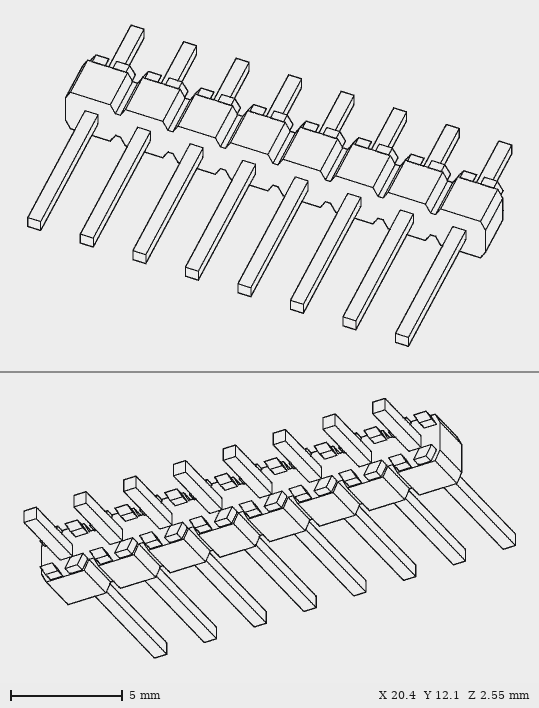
import cadquery as cq

pin_count = 8
pitch = 2.55
row_length = pin_count * pitch
body_height = 2.55
body_depth = 2.03

flank_width = 0.25
flank_height = 0.5
notch_floor_width = 0.25

pin_side = 0.63
pin_front_length = 6.75
pin_rear_length = 3.37

foot_length = 0.47
foot_inner_x = 0.18
foot_outer_x = 1.1
foot_slant = 0.28
foot_inner_z = 0.7
foot_outer_z = 1.22

body_front_y = -body_depth / 2
body_rear_y = body_depth / 2
half_height = body_height / 2
pin_positions = [(index - (pin_count - 1) / 2) * pitch for index in range(pin_count)]


def extrude_along_y(points, start_y, length):
    """Extrude a closed XZ outline from start_y toward +Y."""
    plane = cq.Workplane("XZ", origin=(0, start_y, 0))
    return plane.polyline(points).close().extrude(-length)


def make_notch(center_x, side):
    """Tapered cutter with a flat floor; side is +1 for the top, -1 for the bottom."""
    floor_half = notch_floor_width / 2
    mouth_half = floor_half + flank_width
    floor_z = side * (half_height - flank_height)
    mouth_z = side * half_height
    outline = [
        (center_x - mouth_half, mouth_z),
        (center_x - floor_half, floor_z),
        (center_x + floor_half, floor_z),
        (center_x + mouth_half, mouth_z),
    ]
    return extrude_along_y(outline, body_front_y, body_depth)


def make_body():
    """Long block with chamfered end corners and a notch pair between neighbouring cells."""
    half_length = row_length / 2
    flat_half = half_length - flank_width
    shoulder_z = half_height - flank_height
    outline = [
        (-flat_half, half_height),
        (flat_half, half_height),
        (half_length, shoulder_z),
        (half_length, -shoulder_z),
        (flat_half, -half_height),
        (-flat_half, -half_height),
        (-half_length, -shoulder_z),
        (-half_length, shoulder_z),
    ]
    body = extrude_along_y(outline, body_front_y, body_depth)
    for pin_x in pin_positions[:-1]:
        for side in (1, -1):
            body = body.cut(make_notch(pin_x + pitch / 2, side))
    return body


def make_foot(pin_x, side_x, side_z):
    """Slanted parallelogram foot on the rear face, in the quadrant given by the two signs."""
    outline = [
        (pin_x + side_x * (foot_inner_x + foot_slant), side_z * foot_inner_z),
        (pin_x + side_x * foot_outer_x, side_z * foot_inner_z),
        (pin_x + side_x * (foot_outer_x - foot_slant), side_z * foot_outer_z),
        (pin_x + side_x * foot_inner_x, side_z * foot_outer_z),
    ]
    return extrude_along_y(outline, body_rear_y, foot_length)


def make_pin(pin_x):
    """Square pin passing through the body."""
    pin_length = pin_front_length + body_depth + pin_rear_length
    start_y = body_front_y - pin_front_length
    return (
        cq.Workplane("XZ", origin=(pin_x, start_y, 0))
        .rect(pin_side, pin_side)
        .extrude(-pin_length)
    )


result = make_body()
for pin_x in pin_positions:
    result = result.union(make_pin(pin_x))
    for side_x in (1, -1):
        for side_z in (1, -1):
            result = result.union(make_foot(pin_x, side_x, side_z))